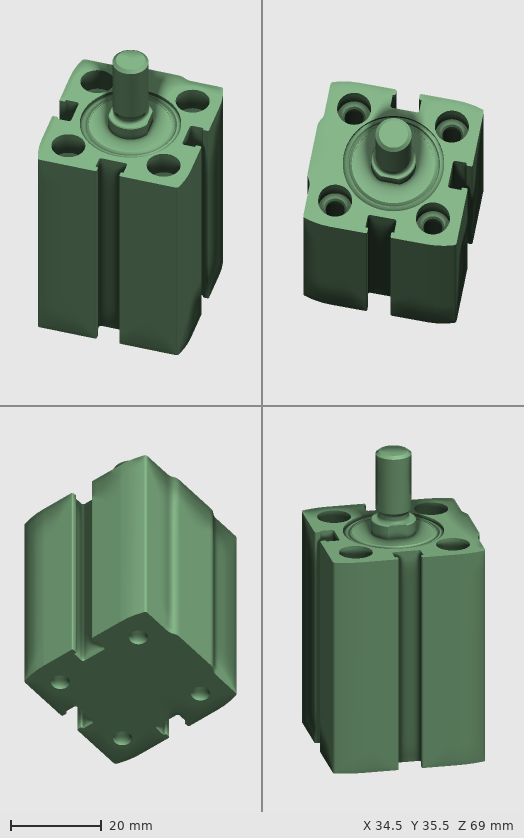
import cadquery as cq
import math

TOTAL_HEIGHT = 69.0
HOUSING_HEIGHT = 50.0
HOUSING_WIDTH = 34.5
HALF_WIDTH = HOUSING_WIDTH / 2

SIDE_FLAT_HALF_LENGTH = 10.9
CORNER_INSET = 1.1
CORNER_RADIUS = 0.7
PAD_HEIGHT = 1.0
PAD_TOP_HALF_WIDTH = 5.5
PAD_FOOT_HALF_WIDTH = 8.7

SLOT_MOUTH_WIDTH = 5.25
SLOT_WIDTH = 6.5
SLOT_DEPTH = 4.4
SLOT_LIP = 1.4
SLOT_CORNER_RADIUS = 0.55
SLOT_LIP_RADIUS = 0.35

HOLE_SPACING = 22.0
HOLE_DIAMETER = 4.2
HOLE_CHAMFER = 0.4
COUNTERBORE_DIAMETER = 7.5
COUNTERBORE_DEPTH = 5.5

RECESS_RADIUS = 22.4 / 2
RECESS_DEPTH = 0.8
RING_CREST_RADIUS = 10.3
RING_CREST_DEPTH = 0.3
GROOVE_OUTER_RADIUS = 20.0 / 2
GROOVE_INNER_RADIUS = 9.9
GROOVE_DEPTH = 0.6
CAP_RIM_OUTER_RADIUS = 9.25
CAP_RIM_INNER_RADIUS = 9.05
CAP_RIM_DEPTH = 0.15
CAP_FACE_DEPTH = 0.3

COLLAR_RADIUS = 10.0 / 2
COLLAR_HEIGHT = 3.0
COLLAR_CHAMFER = 0.2
FLAT_HALF_WIDTH = 4.5
ROD_RADIUS = 8.0 / 2
ROD_TIP_CHAMFER_HEIGHT = 0.6
NECK_RADIUS = 6.4 / 2
NECK_FILLET = 0.7
THREAD_START = 5.4
ROD_INSERTION = 6.9


def housing_blank():
    """Extruded outline with bowed X sides and the raised pad on +Y."""
    corner_x = HALF_WIDTH - CORNER_INSET
    bow_length = HALF_WIDTH - SIDE_FLAT_HALF_LENGTH
    bow_radius = (bow_length**2 + CORNER_INSET**2) / (2 * CORNER_INSET)
    pad_mid_x = (PAD_TOP_HALF_WIDTH + PAD_FOOT_HALF_WIDTH) / 2
    pad_y = HALF_WIDTH + PAD_HEIGHT
    right_half = (
        cq.Workplane("XY")
        .moveTo(0, -HALF_WIDTH)
        .lineTo(corner_x, -HALF_WIDTH)
        .radiusArc((HALF_WIDTH, -SIDE_FLAT_HALF_LENGTH), -bow_radius)
        .lineTo(HALF_WIDTH, SIDE_FLAT_HALF_LENGTH)
        .radiusArc((corner_x, HALF_WIDTH), -bow_radius)
        .lineTo(PAD_FOOT_HALF_WIDTH, HALF_WIDTH)
        .tangentArcPoint((pad_mid_x, HALF_WIDTH + PAD_HEIGHT / 2), relative=False)
        .tangentArcPoint((PAD_TOP_HALF_WIDTH, pad_y), relative=False)
        .lineTo(0, pad_y)
        .close()
        .extrude(HOUSING_HEIGHT)
    )
    corners = cq.selectors.BoxSelector(
        (corner_x - CORNER_RADIUS, -HALF_WIDTH - CORNER_RADIUS, 0),
        (corner_x + CORNER_RADIUS, HALF_WIDTH + CORNER_RADIUS, HOUSING_HEIGHT),
    )
    right_half = right_half.edges("|Z").edges(corners).fillet(CORNER_RADIUS)
    return right_half.union(right_half.mirror("YZ")).clean()


def cut_slot(housing, angle):
    """Cuts a T-slot into the side at the angle from -Y and rounds the edges of its lips."""
    mouth = cq.Workplane("XY").box(
        SLOT_MOUTH_WIDTH, 2 * SLOT_LIP, HOUSING_HEIGHT, centered=(True, True, False)
    )
    mouth = mouth.translate((0, -HALF_WIDTH, 0))
    chamber = (
        cq.Workplane("XY")
        .box(SLOT_WIDTH, SLOT_DEPTH - SLOT_LIP, HOUSING_HEIGHT, centered=(True, False, False))
        .edges("|Z and >Y")
        .fillet(SLOT_CORNER_RADIUS)
        .translate((0, SLOT_LIP - HALF_WIDTH, 0))
    )
    turned = housing.rotate((0, 0, 0), (0, 0, 1), -angle).cut(mouth.union(chamber))
    lip_half_width = (SLOT_MOUTH_WIDTH + SLOT_WIDTH) / 4
    lips = cq.selectors.BoxSelector(
        (-lip_half_width, -HALF_WIDTH - SLOT_LIP / 2, 0),
        (lip_half_width, -HALF_WIDTH + SLOT_LIP * 1.5, HOUSING_HEIGHT),
    )
    turned = turned.edges("|Z").edges(lips).fillet(SLOT_LIP_RADIUS)
    return turned.rotate((0, 0, 0), (0, 0, 1), angle)


def mounting_hole_cutters():
    """Four through holes, counterbored from the top with a chamfer at each counterbore floor."""
    bore_radius = HOLE_DIAMETER / 2
    floor_z = HOUSING_HEIGHT - COUNTERBORE_DEPTH
    profile = (
        cq.Workplane("XZ")
        .polyline([
            (0, 0),
            (bore_radius, 0),
            (bore_radius, floor_z - HOLE_CHAMFER),
            (bore_radius + HOLE_CHAMFER, floor_z),
            (COUNTERBORE_DIAMETER / 2, floor_z),
            (COUNTERBORE_DIAMETER / 2, HOUSING_HEIGHT),
            (0, HOUSING_HEIGHT),
        ])
        .close()
        .revolve(360, (0, 0, 0), (0, 1, 0))
    )
    places = cq.Workplane("XY").rect(HOLE_SPACING, HOLE_SPACING, forConstruction=True)
    return places.vertices().eachpoint(lambda place: profile.val().moved(place), combine=False)


def cap_recess_cutter():
    """Material removed above the bevelled retaining ring and the bevelled cap face."""
    top = HOUSING_HEIGHT
    return (
        cq.Workplane("XZ")
        .polyline([
            (0, top),
            (RECESS_RADIUS, top),
            (RECESS_RADIUS, top - RECESS_DEPTH),
            (RING_CREST_RADIUS, top - RING_CREST_DEPTH),
            (GROOVE_OUTER_RADIUS, top - GROOVE_DEPTH),
            (GROOVE_INNER_RADIUS, top - GROOVE_DEPTH),
            (CAP_RIM_OUTER_RADIUS, top - CAP_RIM_DEPTH),
            (CAP_RIM_INNER_RADIUS, top - CAP_RIM_DEPTH),
            (CAP_RIM_INNER_RADIUS, top - CAP_FACE_DEPTH),
            (0, top - CAP_FACE_DEPTH),
        ])
        .close()
        .revolve(360, (0, 0, 0), (0, 1, 0))
    )


def piston_rod():
    """Turned rod: collar with two wrench flats, undercut neck and plain thread cylinder."""
    collar_top = HOUSING_HEIGHT + COLLAR_HEIGHT
    thread_start = HOUSING_HEIGHT + THREAD_START
    cone_foot_radius = NECK_RADIUS + NECK_FILLET * (1 - math.cos(math.pi / 4))
    cone_foot_z = thread_start - (ROD_RADIUS - cone_foot_radius)
    neck_top_z = cone_foot_z - NECK_FILLET * math.sin(math.pi / 4)
    rod = (
        cq.Workplane("XZ")
        .moveTo(0, HOUSING_HEIGHT - ROD_INSERTION)
        .lineTo(COLLAR_RADIUS, HOUSING_HEIGHT - ROD_INSERTION)
        .lineTo(COLLAR_RADIUS, collar_top - COLLAR_CHAMFER)
        .lineTo(COLLAR_RADIUS - COLLAR_CHAMFER, collar_top)
        .lineTo(NECK_RADIUS + NECK_FILLET, collar_top)
        .radiusArc((NECK_RADIUS, collar_top + NECK_FILLET), NECK_FILLET)
        .lineTo(NECK_RADIUS, neck_top_z)
        .radiusArc((cone_foot_radius, cone_foot_z), NECK_FILLET)
        .lineTo(ROD_RADIUS, thread_start)
        .lineTo(ROD_RADIUS, TOTAL_HEIGHT - ROD_TIP_CHAMFER_HEIGHT)
        .lineTo(NECK_RADIUS, TOTAL_HEIGHT)
        .lineTo(0, TOTAL_HEIGHT)
        .close()
        .revolve(360, (0, 0, 0), (0, 1, 0))
    )
    flat_bottom = HOUSING_HEIGHT - CAP_FACE_DEPTH
    for side in (-1, 1):
        flat = cq.Workplane("XY").box(
            COLLAR_RADIUS, 2 * COLLAR_RADIUS, collar_top - flat_bottom, centered=(True, True, False)
        )
        rod = rod.cut(flat.translate((side * (FLAT_HALF_WIDTH + COLLAR_RADIUS / 2), 0, flat_bottom)))
    return rod


def cylinder_housing():
    """Profile body with sensor slots, mounting holes, cap face and the rod bore."""
    housing = housing_blank()
    for angle in (-90, 0, 90):
        housing = cut_slot(housing, angle)
    rod_bore = (
        cq.Workplane("XY", origin=(0, 0, HOUSING_HEIGHT - ROD_INSERTION))
        .circle(COLLAR_RADIUS)
        .extrude(ROD_INSERTION)
    )
    return housing.cut(mounting_hole_cutters()).cut(cap_recess_cutter()).cut(rod_bore)


housing = cylinder_housing()
rod = piston_rod()
result = cq.Compound.makeCompound([housing.solids().val(), rod.solids().val()])